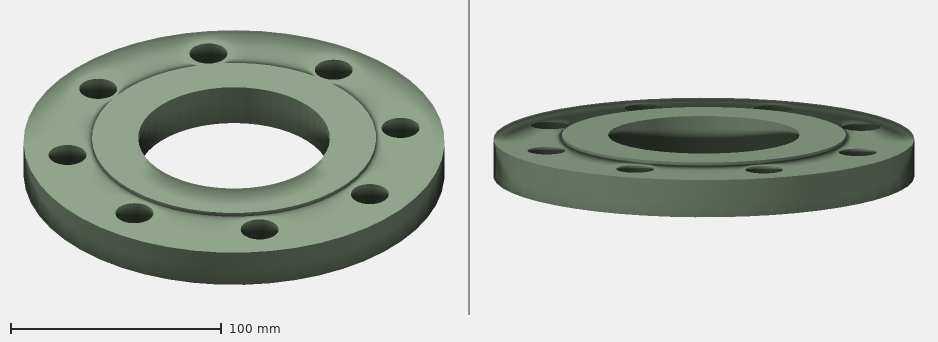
import cadquery as cq

flange_diameter = 200.0
total_thickness = 20.0
face_diameter = 135.0
face_height = 2.0
bore_diameter = 91.0
bolt_circle_diameter = 160.0
bolt_hole_diameter = 18.0
bolt_count = 8

flange_thickness = total_thickness - face_height
bolt_pitch_angle = 360.0 / bolt_count

flange = cq.Workplane("XY").circle(flange_diameter / 2).extrude(flange_thickness)
raised_face = (
    cq.Workplane("XY")
    .workplane(offset=flange_thickness)
    .circle(face_diameter / 2)
    .extrude(face_height)
)

bore = cq.Workplane("XY").circle(bore_diameter / 2).extrude(total_thickness)

bolt_holes = (
    cq.Workplane("XY")
    .polarArray(bolt_circle_diameter / 2, bolt_pitch_angle / 2, 360, bolt_count)
    .circle(bolt_hole_diameter / 2)
    .extrude(total_thickness)
)

result = flange.union(raised_face).cut(bore).cut(bolt_holes)